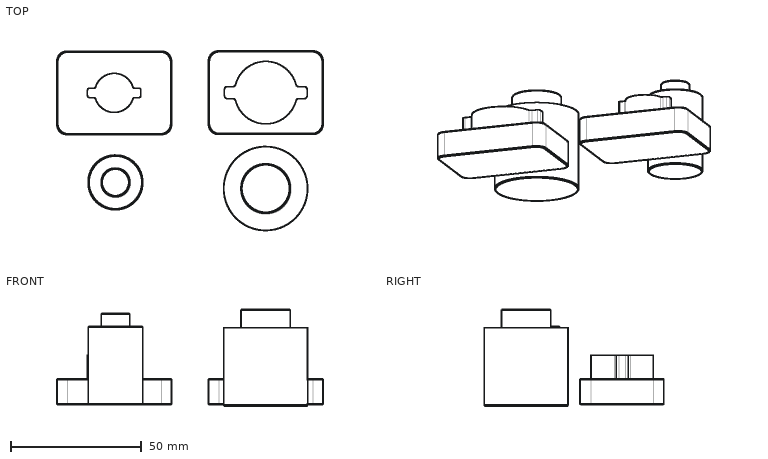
import cadquery as cq

TOTAL_LENGTH = 102.0
TOTAL_DEPTH = 68.8
TOTAL_HEIGHT = 37.0

PLATE_LENGTH = 44.0
PLATE_DEPTH = 32.0
PLATE_HEIGHT = 10.0
PLATE_CORNER_RADIUS = 4.0
PLATE_EDGE_CHAMFER = 0.4
PLATE_BOTTOM_Z = 0.5

BOSS_HEIGHT = 9.0
SMALL_BOSS_DIAMETER = 15.0
SMALL_KEY_SPAN = 20.5
SMALL_KEY_WIDTH = 3.6
SMALL_KEY_CORNER_RADIUS = 0.8
LARGE_BOSS_DIAMETER = 24.0
LARGE_KEY_SPAN = 31.6
LARGE_KEY_WIDTH = 4.6
LARGE_KEY_CORNER_RADIUS = 1.0

SMALL_KNOB_DIAMETER = 21.0
SMALL_STEM_DIAMETER = 11.0
SMALL_KNOB_HEIGHT = 30.0
SMALL_STEM_HEIGHT = 5.0
SMALL_KNOB_BOTTOM_Z = 0.5
LARGE_KNOB_DIAMETER = 32.2
LARGE_STEM_DIAMETER = 19.0
LARGE_KNOB_HEIGHT = 30.0
LARGE_STEM_HEIGHT = TOTAL_HEIGHT - LARGE_KNOB_HEIGHT
KNOB_EDGE_CHAMFER = 0.4
STEM_ROOT_RADIUS = 0.2

SMALL_BASE_X = PLATE_LENGTH / 2
LARGE_BASE_X = TOTAL_LENGTH - PLATE_LENGTH / 2
LARGE_BASE_Y = TOTAL_DEPTH - PLATE_DEPTH / 2
SMALL_BASE_Y = 52.7
SMALL_KNOB_X = 22.4
SMALL_KNOB_Y = 18.5
LARGE_KNOB_X = 80.0
LARGE_KNOB_Y = LARGE_KNOB_DIAMETER / 2


def keyed_boss(diameter, key_span, key_width, corner_radius):
    """Round boss with a key on each side, all its upright corners rounded."""
    boss = cq.Workplane("XY").circle(diameter / 2).extrude(BOSS_HEIGHT)
    key = cq.Workplane("XY").rect(key_span, key_width).extrude(BOSS_HEIGHT)
    outline = boss.union(key)
    around_keys = cq.selectors.BoxSelector(
        (-key_span, -key_width, 0), (key_span, key_width, BOSS_HEIGHT)
    )
    return outline.edges("|Z").edges(around_keys).fillet(corner_radius)


def base(center_x, center_y, boss_diameter, key_span, key_width, corner_radius):
    """Rounded plate with a keyed boss in the middle of its top face."""
    plate = (
        cq.Workplane("XY")
        .box(PLATE_LENGTH, PLATE_DEPTH, PLATE_HEIGHT, centered=(True, True, False))
        .edges("|Z").fillet(PLATE_CORNER_RADIUS)
        .faces("<Z or >Z").edges().chamfer(PLATE_EDGE_CHAMFER)
    )
    boss = keyed_boss(boss_diameter, key_span, key_width, corner_radius).translate((0, 0, PLATE_HEIGHT))
    return plate.union(boss).translate((center_x, center_y, PLATE_BOTTOM_Z))


def knob(diameter, height, stem_diameter, stem_height):
    """Cylinder with a stem on top, chamfered at the bottom and the stem tip, with a rounded stem root."""
    body = cq.Workplane("XY").circle(diameter / 2).extrude(height)
    stem = cq.Workplane("XY").workplane(offset=height).circle(stem_diameter / 2).extrude(stem_height)
    chamfered = body.union(stem).faces("<Z or >Z").edges().chamfer(KNOB_EDGE_CHAMFER)
    stem_root = cq.selectors.RadiusNthSelector(0)
    return chamfered.faces("|Z").faces(">Z[-2]").edges(stem_root).fillet(STEM_ROOT_RADIUS)


def small_knob():
    """Small knob, whose cylinder is chamfered at its upper rim as well."""
    blank = knob(SMALL_KNOB_DIAMETER, SMALL_KNOB_HEIGHT, SMALL_STEM_DIAMETER, SMALL_STEM_HEIGHT)
    rim = cq.selectors.RadiusNthSelector(-1)
    chamfered = blank.faces("|Z").faces(">Z[-2]").edges(rim).chamfer(KNOB_EDGE_CHAMFER)
    return chamfered.translate((SMALL_KNOB_X, SMALL_KNOB_Y, SMALL_KNOB_BOTTOM_Z))


def large_knob():
    """Large knob, whose upper rim stays sharp."""
    blank = knob(LARGE_KNOB_DIAMETER, LARGE_KNOB_HEIGHT, LARGE_STEM_DIAMETER, LARGE_STEM_HEIGHT)
    return blank.translate((LARGE_KNOB_X, LARGE_KNOB_Y, 0))


small_base = base(
    SMALL_BASE_X, SMALL_BASE_Y,
    SMALL_BOSS_DIAMETER, SMALL_KEY_SPAN, SMALL_KEY_WIDTH, SMALL_KEY_CORNER_RADIUS,
)
large_base = base(
    LARGE_BASE_X, LARGE_BASE_Y,
    LARGE_BOSS_DIAMETER, LARGE_KEY_SPAN, LARGE_KEY_WIDTH, LARGE_KEY_CORNER_RADIUS,
)

result = cq.Compound.makeCompound(
    [small_base.val(), large_base.val(), small_knob().val(), large_knob().val()]
)